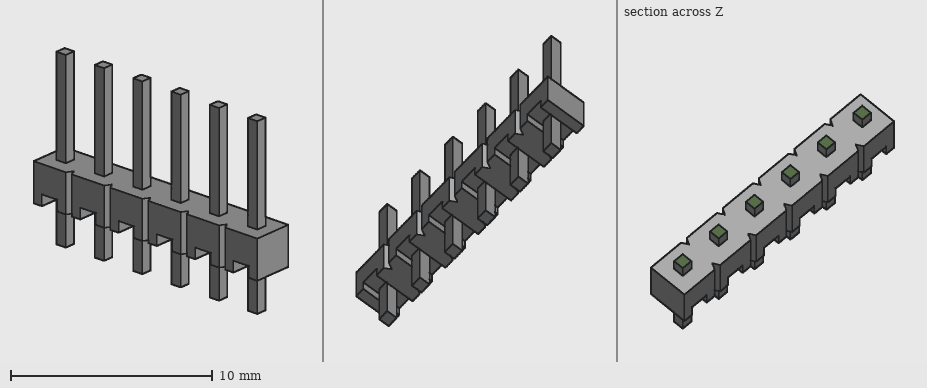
import cadquery as cq

pin_count = 6
pin_width = 0.62
pin_length = 10.43
pin_tail = 2.28

bar_length = 14.83
bar_depth = 2.35
bar_height = 2.28

end_margin = 1.07
pitch = (bar_length - 2 * end_margin) / (pin_count - 1)

notch_width = 0.4
notch_depth = 0.35

slot_width = 1.02
slot_height = 0.64


def row_positions(count):
    """X positions of evenly pitched features, centred on the bar."""
    return [(index - (count - 1) / 2) * pitch for index in range(count)]


def make_bar():
    return cq.Workplane("XY").box(bar_length, bar_depth, bar_height, centered=(True, True, False))


def make_notch(x, side):
    """Full-height V-notch in the front (side = -1) or back (side = 1) face."""
    face_y = side * bar_depth / 2
    tip_y = face_y - side * notch_depth
    mouth = notch_width / 2
    outline = [(x - mouth, face_y), (x + mouth, face_y), (x, tip_y)]
    return cq.Workplane("XY").polyline(outline).close().extrude(bar_height)


def make_slot(x):
    slot = cq.Workplane("XY").box(slot_width, bar_depth, slot_height, centered=(True, True, False))
    return slot.translate((x, 0, 0))


def make_pin(x):
    pin = cq.Workplane("XY").box(pin_width, pin_width, pin_length, centered=(True, True, False))
    return pin.translate((x, 0, -pin_tail))


result = make_bar()

for notch_x in row_positions(pin_count - 1):
    for side in (-1, 1):
        result = result.cut(make_notch(notch_x, side))

for pin_x in row_positions(pin_count):
    result = result.cut(make_slot(pin_x))
    result = result.union(make_pin(pin_x))